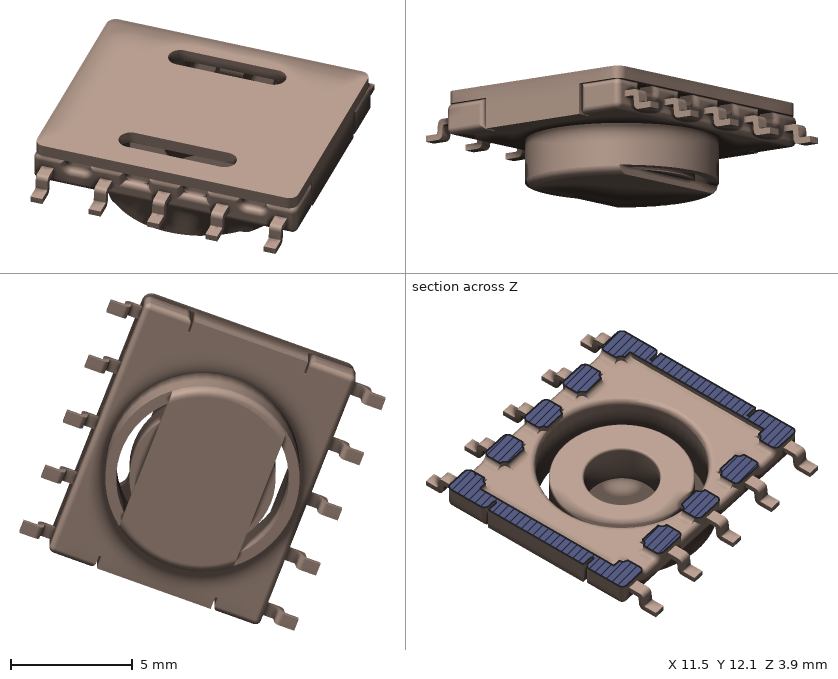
import cadquery as cq
top_z = 3.9
plate_thickness = 0.52
frame_height = 1.28
bar_height = 0.35
plate_bottom_z = top_z - plate_thickness
frame_bottom_z = plate_bottom_z - frame_height

plate_length = 11.41
plate_width = 9.27
plate_corner_radius = 0.4
core_width = 5.0
side_wall_thickness = 0.54
post_radius = 3.0
post_bore_radius = 1.57
post_edge_radius = 0.11
window_length = 5.1
window_width = 1.01
window_offset = 3.02

frame_length = 11.5
frame_width = plate_width
frame_edge_radius = 0.24
wall_gap = 0.11
tube_radius = 4.0
bore_radius = 3.55
bore_edge_radius = 0.25

notch_depth = 0.5
notch_width = 1.03
notch_corner_radius = 0.24
inner_notch_x = 1.27
outer_notch_x = 3.84
pocket_length = 9.9
pocket_width = 7.02
floor_z = plate_bottom_z - notch_depth
rail_width = (frame_width - pocket_width) / 2
rail_y = (frame_width + pocket_width) / 4

leads_per_side = 5
lead_pitch = 2.55
lead_span = 12.07
lead_width = 0.52
lead_thickness = 0.25
lead_top_z = top_z - 1.03
lead_drop = 0.6
lead_knee_y = 5.37
lead_lean = 0.06
lead_outer_bend = 0.23
lead_inner_bend = 0.06

pick_margin = 0.01


def block(length, width, bottom, top):
    """Box centred on the Z axis between two levels."""
    return cq.Workplane("XY").workplane(offset=bottom).rect(length, width).extrude(top - bottom)


def disc(radius, bottom, top):
    """Cylinder on the Z axis between two levels."""
    return cq.Workplane("XY").workplane(offset=bottom).circle(radius).extrude(top - bottom)


def turned(shape, angle):
    """Shape turned about the Z axis."""
    return shape.rotate((0, 0, 0), (0, 0, 1), angle)


def side_slabs(length, width):
    """Two upright slabs at the +X and -X ends, as tall as the frame."""
    inner_length = plate_length - 2 * side_wall_thickness
    outer = block(length, width, frame_bottom_z, plate_bottom_z)
    return outer.cut(block(inner_length, width, frame_bottom_z, plate_bottom_z))




def make_plate():
    plate = block(plate_length, plate_width, plate_bottom_z, top_z)
    plate = plate.edges("|Z").fillet(plate_corner_radius)
    windows = (
        cq.Workplane("XY")
        .workplane(offset=plate_bottom_z)
        .pushPoints([(0, -window_offset), (0, window_offset)])
        .slot2D(window_length, window_width)
        .extrude(plate_thickness)
    )
    return plate.cut(windows)


def make_bar():
    """Bar under the tube; its round ends are rolled up to the full bar height."""
    rounded_disc = disc(tube_radius, 0, frame_bottom_z).faces("<Z").edges().fillet(bar_height)
    return rounded_disc.intersect(block(2 * tube_radius, core_width, 0, bar_height))


def make_post():
    post = disc(post_radius, bar_height, frame_bottom_z)
    post = post.cut(disc(post_bore_radius, bar_height, frame_bottom_z))
    return post.faces(">Z").edges().fillet(post_edge_radius)


def make_core():
    walls = side_slabs(plate_length, core_width)
    return make_plate().union(walls).union(make_bar()).union(make_post())




def notch_channel(corner_radius):
    """Cutter for a notch through the +Y rail, with a mouth that flares at the outer face."""
    cutter_top = plate_bottom_z + notch_depth
    face_y = frame_width / 2
    channel = block(notch_width, rail_width, floor_z, cutter_top).translate((0, rail_y, 0))
    if corner_radius:
        channel = channel.edges("|Y and <Z").fillet(corner_radius)
    outside = block(2 * notch_width, notch_width, frame_bottom_z, cutter_top)
    outside = outside.translate((0, face_y + notch_width / 2, 0))
    mouth_edges = cq.selectors.BoxSelector(
        (-notch_width, face_y - pick_margin, floor_z - pick_margin),
        (notch_width, face_y + pick_margin, cutter_top - pick_margin),
    )
    return channel.union(outside).edges(mouth_edges).fillet(frame_edge_radius)


def square_mouth():
    """Square-cornered flare, only as deep as the rounding of the frame edge."""
    flare = block(2 * notch_width, frame_edge_radius, frame_bottom_z, plate_bottom_z)
    flare = flare.translate((0, (frame_width - frame_edge_radius) / 2, 0))
    return notch_channel(0).intersect(flare)


def inner_mouth():
    """Opening from the pocket into a notch, with its two upright edges rounded."""
    half_notch = notch_width / 2
    half_mouth = half_notch + frame_edge_radius
    wall_y = pocket_width / 2
    start_y = wall_y - frame_edge_radius
    end_y = wall_y + frame_edge_radius
    return (
        cq.Workplane("XY")
        .workplane(offset=floor_z)
        .moveTo(-half_mouth, start_y)
        .lineTo(half_mouth, start_y)
        .lineTo(half_mouth, wall_y)
        .radiusArc((half_notch, end_y), -frame_edge_radius)
        .lineTo(-half_notch, end_y)
        .radiusArc((-half_mouth, wall_y), -frame_edge_radius)
        .close()
        .extrude(notch_depth)
    )


def pocket_middle():
    """Stretch of the pocket between the inner notches, its wall tops rounded over."""
    length = 2 * inner_notch_x
    middle = block(length, pocket_width, floor_z, plate_bottom_z)
    middle = middle.union(block(length, frame_width, plate_bottom_z, top_z))
    wall_tops = cq.selectors.BoxSelector(
        (-length, -pocket_width / 2 - pick_margin, plate_bottom_z - pick_margin),
        (length, pocket_width / 2 + pick_margin, plate_bottom_z + pick_margin),
    )
    return middle.edges("|X").edges(wall_tops).fillet(frame_edge_radius)


def bore_cutter():
    """Round bore with a rounded upper edge, revolved from its half section."""
    return (
        cq.Workplane("XZ")
        .moveTo(0, bar_height)
        .lineTo(bore_radius, bar_height)
        .lineTo(bore_radius, floor_z - bore_edge_radius)
        .radiusArc((bore_radius + bore_edge_radius, floor_z), bore_edge_radius)
        .lineTo(0, floor_z)
        .close()
        .revolve(360, (0, 0, 0), (0, 1, 0))
    )


def make_frame():
    frame = block(frame_length, frame_width, frame_bottom_z, plate_bottom_z)
    frame = frame.cut(side_slabs(frame_length, core_width + 2 * wall_gap))
    frame = frame.faces("<Y or >Y or <X or >X").edges().fillet(frame_edge_radius)

    pocket = block(pocket_length, pocket_width, floor_z, plate_bottom_z)
    pocket = pocket.edges("<Z and |X").fillet(frame_edge_radius)
    frame = frame.cut(pocket.union(pocket_middle()))

    outer_notch = notch_channel(notch_corner_radius).union(inner_mouth())
    inner_notch = outer_notch.union(square_mouth())
    for angle in (0, 180):
        for side in (-1, 1):
            frame = frame.cut(turned(outer_notch.translate((side * outer_notch_x, 0, 0)), angle))
            frame = frame.cut(turned(inner_notch.translate((side * inner_notch_x, 0, 0)), angle))

    tube = disc(tube_radius, bar_height, frame_bottom_z)
    return frame.union(tube).cut(bore_cutter())




def make_lead():
    """Lead running out along +Y from the frame, centred on X = 0."""
    tip_y = lead_span / 2
    foot_top_z = lead_top_z - lead_drop
    upper_outer = (lead_knee_y, lead_top_z)
    upper_inner = (lead_knee_y - lead_thickness, lead_top_z - lead_thickness)
    lower_inner = (lead_knee_y + lead_lean, foot_top_z)
    lower_outer = (lead_knee_y + lead_lean - lead_thickness, foot_top_z - lead_thickness)
    lead = (
        cq.Workplane("YZ")
        .moveTo(rail_y, lead_top_z)
        .lineTo(*upper_outer)
        .lineTo(*lower_inner)
        .lineTo(tip_y, foot_top_z)
        .lineTo(tip_y, foot_top_z - lead_thickness)
        .lineTo(*lower_outer)
        .lineTo(*upper_inner)
        .lineTo(rail_y, lead_top_z - lead_thickness)
        .close()
        .extrude(lead_width / 2, both=True)
    )
    bends = [
        (upper_outer, lead_outer_bend),
        (lower_outer, lead_outer_bend),
        (upper_inner, lead_inner_bend),
        (lower_inner, lead_inner_bend),
    ]
    for (y, z), radius in bends:
        bend_edge = cq.selectors.BoxSelector(
            (-lead_width, y - pick_margin, z - pick_margin),
            (lead_width, y + pick_margin, z + pick_margin),
        )
        lead = lead.edges(bend_edge).fillet(radius)
    return lead


result = make_core().union(make_frame())
lead = make_lead()
for angle in (0, 180):
    for index in range(leads_per_side):
        lead_x = (index - (leads_per_side - 1) / 2) * lead_pitch
        result = result.union(turned(lead.translate((lead_x, 0, 0)), angle))